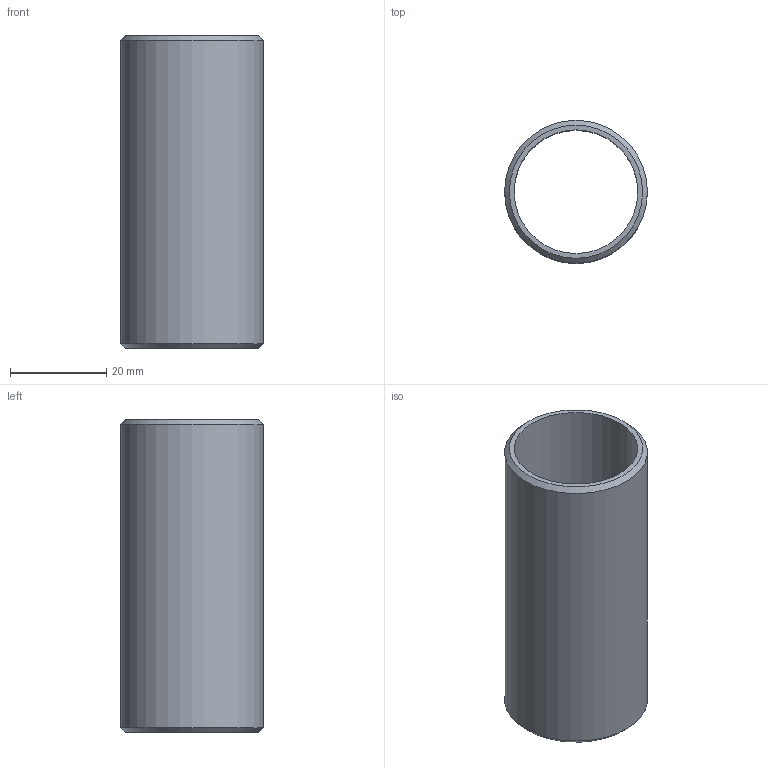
import cadquery as cq

outer_diameter = 29.7
wall_thickness = 2.0
length = 65.0
edge_chamfer = 1.0

inner_diameter = outer_diameter - 2 * wall_thickness


def make_body():
    """Solid cylinder with both end edges chamfered."""
    body = cq.Workplane("XY").circle(outer_diameter / 2).extrude(length)
    return body.faces("<Z or >Z").edges().chamfer(edge_chamfer)


def make_bore():
    """Straight bore running the full length."""
    return cq.Workplane("XY").circle(inner_diameter / 2).extrude(length)


result = make_body().cut(make_bore())